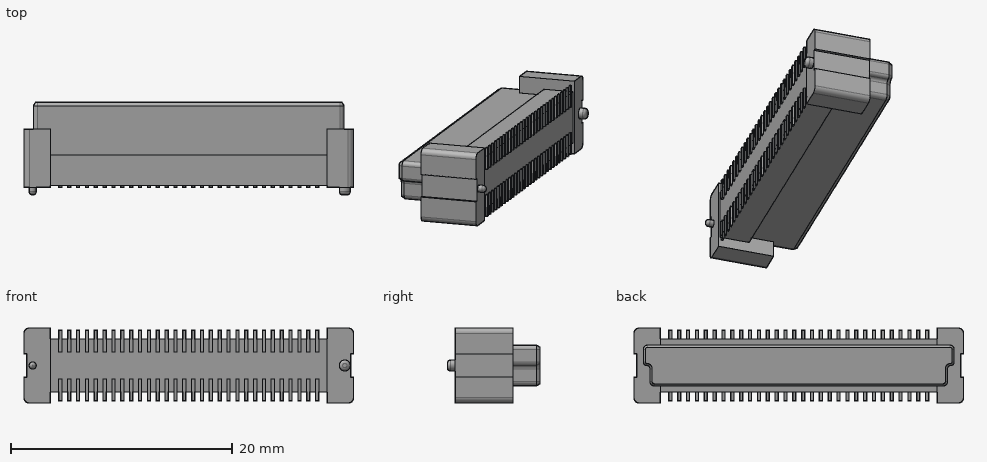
import cadquery as cq
import math


lead_count = 30
lead_pitch = 0.8
lead_width = 0.3
lead_inner_z = 1.2
lead_outer_z = 3.2

housing_height = 4.8
housing_front_y = 0.15
housing_back_y = 2.9

block_height = 6.8
block_depth = 5.25
block_inner_x = 12.5
block_width = 2.4
block_corner_radius = 0.5
notch_height = 2.1
notch_depth = 0.25

shroud_half_width = 14.05
shroud_height = 3.7
shroud_end_y = 7.7
shroud_corner_radius = 0.4
shroud_step_radius = 0.3
shroud_lead_in_depth = 0.35
shroud_lead_in_inset = 0.2

peg_length = 0.7
left_peg_x = -14.1
left_peg_diameter = 0.65
right_peg_x = 14.1
right_peg_diameter = 1.0
peg_tip_radius = 0.3
peg_embed = 0.1


def box(x_min, x_max, y_min, y_max, z_min, z_max):
    """Axis-aligned box given by its limits."""
    size = (x_max - x_min, y_max - y_min, z_max - z_min)
    return cq.Workplane("XY").box(*size, centered=False).translate((x_min, y_min, z_min))


def shroud_outline(start_y):
    """Keyed shroud outline in the XZ plane at the given Y."""
    half_height = shroud_height / 2
    corner = shroud_corner_radius
    step = shroud_step_radius
    wide = shroud_half_width
    narrow = wide - 2 * step
    diagonal = math.sqrt(0.5)
    corner_bulge = corner * (1 - diagonal)
    step_bulge = step * (1 - diagonal)
    right_half = (
        cq.Workplane("XZ", origin=(0, start_y, 0))
        .moveTo(0, half_height)
        .lineTo(wide - corner, half_height)
        .threePointArc((wide - corner_bulge, half_height - corner_bulge), (wide, half_height - corner))
        .lineTo(wide, step)
        .threePointArc((wide - step_bulge, step_bulge), (wide - step, 0))
        .threePointArc((narrow + step_bulge, -step_bulge), (narrow, -step))
        .lineTo(narrow, -half_height + corner)
        .threePointArc((narrow - corner_bulge, -half_height + corner_bulge), (narrow - corner, -half_height))
        .lineTo(0, -half_height)
    )
    return right_half.mirrorY()


def make_shroud():
    """Shroud with a tapered lead-in at its mating end."""
    taper_start_y = shroud_end_y - shroud_lead_in_depth
    taper_angle = math.degrees(math.atan2(shroud_lead_in_inset, shroud_lead_in_depth))
    straight = shroud_outline(housing_front_y).extrude(-(taper_start_y - housing_front_y))
    lead_in = shroud_outline(taper_start_y).extrude(-shroud_lead_in_depth, taper=taper_angle)
    return straight.union(lead_in)


def make_housing():
    """Wall between the end blocks that carries the leads."""
    half_height = housing_height / 2
    return box(
        -block_inner_x, block_inner_x, housing_front_y, housing_back_y, -half_height, half_height
    )


def make_block(side):
    """End block on side -1 (left) or +1 (right), with rounded outer corners and a notch."""
    inner_x = side * block_inner_x
    outer_x = side * (block_inner_x + block_width)
    x_limits = sorted((inner_x, outer_x))
    block = box(*x_limits, 0, block_depth, -block_height / 2, block_height / 2)
    outer_face = ">X" if side > 0 else "<X"
    block = block.faces(outer_face).edges("|Y").fillet(block_corner_radius)
    notch_limits = sorted((outer_x, outer_x - side * notch_depth))
    return block.cut(box(*notch_limits, 0, block_depth, -notch_height / 2, notch_height / 2))


def make_peg(x, diameter):
    """Round peg with a rounded tip."""
    return (
        cq.Workplane("XZ", origin=(x, peg_embed, 0))
        .circle(diameter / 2)
        .extrude(peg_embed + peg_length)
        .faces("<Y")
        .edges()
        .fillet(peg_tip_radius)
    )


def make_leads():
    """Two rows of flat leads, their outer faces on the mounting plane."""
    length = lead_outer_z - lead_inner_z
    row_spacing = lead_outer_z + lead_inner_z
    return (
        cq.Workplane("XZ")
        .rarray(lead_pitch, row_spacing, lead_count, 2)
        .rect(lead_width, length)
        .extrude(-housing_front_y)
    )


result = (
    make_housing()
    .union(make_shroud())
    .union(make_block(-1))
    .union(make_block(1))
    .union(make_peg(left_peg_x, left_peg_diameter))
    .union(make_peg(right_peg_x, right_peg_diameter))
    .union(make_leads())
)